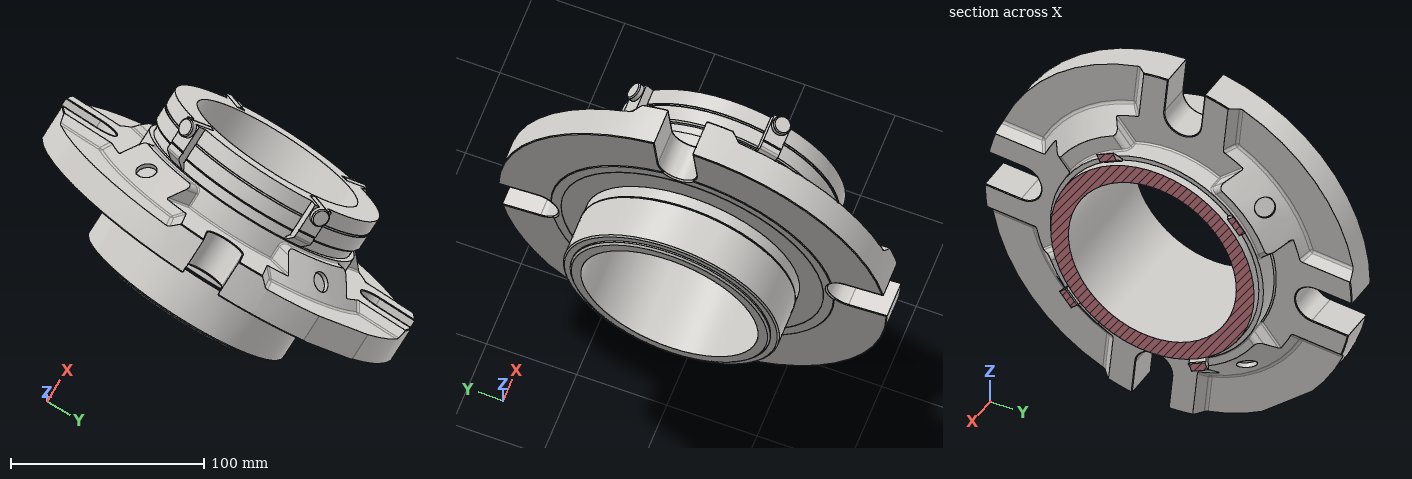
import cadquery as cq
import math


NOSE_LENGTH = 2.0
GROOVE_X = 26.0
PAD_X = 33.0
FLANGE_X = 33.5
FLANGE_BACK_X = 54.3
POCKET_X = 49.2
BOSS_END_X = 66.9
COLLAR_X = 72.7
COLLAR_LINE_X = 82.0
END_X = 91.9

BORE_D = 98.3
NOSE_D = 111.0
BODY_D = 120.0
BODY_BACK_D = 119.0
GROOVE_D = 116.0
PAD_D = 157.5
PAD_RECESS_D = 145.5
FLANGE_D = 215.6
BOSS_D = 125.3
NECK_D = 120.0
COLLAR_D = 125.3
COLLAR_LINE_D = 124.5

NOSE_CHAMFER = 1.0
BODY_CHAMFER = 0.9
PAD_CHAMFER = 0.5
FLANGE_CHAMFER = 0.5
GROOVE_WIDTH = 0.9
COLLAR_LINE_WIDTH = 1.0
COLLAR_CHAMFER = 0.9
PAD_RECESS_DEPTH = 0.2

SLOT_COUNT = 4
SECTOR_ANGLE = 360 / SLOT_COUNT
SLOT_TILT = 5.7
SLOT_WIDTH = 21.5
SLOT_CENTRE_R = 85.8
SLOT_CHAMFER = 0.5
CHAMFER_TAPER = 45

SECTOR_TILT = SLOT_TILT + SECTOR_ANGLE / 2
POCKET_CONE_R = 84.5
POCKET_WALL_OFFSET = 42.5
POCKET_TAPER = 45
POCKET_FILLET = 2.5
WEDGE_WIDTH = 45.7
WEDGE_LENGTH = 92.7
WEDGE_ROUND = 3.2
GLAND_FILLET = 0.9
LOW_WEDGE_X = 61.9
PORT_WEDGE_X = 65.8
LOW_SECTOR = 0
FLAT_SECTOR = 2
FLAT_R = 106.0
PORT_D = 11.0
PORT_X = 57.8
PORT_DEPTH = 2.5

EDGE_REACH = 103.5
TOLERANCE = 0.02

CLIP_ANGLES = (65.4, 139.7, 245.4, 319.7)
CLIP_WIDTH = 10.8
CLIP_TOP_R = 67.3
CLIP_ROOT_DEPTH = 4.3
CLIP_BEVEL_LENGTH = 4.7
CLIP_BEVEL_HEIGHT = 7.0
CLIP_BEVEL_ROUND = 1.7
CLIP_FOOT_HEIGHT = 1.7
CLIP_UNDERSIDE_X = 70.7
CLIP_UNDERSIDE_R = 62.3
CLIP_SCORE_X = 76.0
CLIP_SCORE_WIDTH = 0.6
CLIP_SCORE_DEPTH = 0.5
HEAD_D = 10.0
HEAD_X = 87.5
HEAD_TOP_R = 70.5
HEAD_CHAMFER = 0.6


def disc(start_x, end_x, diameter):
    """Solid cylinder about the X axis."""
    return cq.Workplane("YZ").workplane(offset=start_x).circle(diameter / 2).extrude(end_x - start_x)


def ring(start_x, width, outer_d, inner_d):
    """Annulus about the X axis."""
    return disc(start_x, start_x + width, outer_d).cut(disc(start_x, start_x + width, inner_d))


def place(shape, angle):
    """Turn a shape from the +Z side to an angle counted from -Y towards +Z."""
    return shape.rotate((0, 0, 0), (1, 0, 0), 90 - angle)


def sector_angle(index):
    """Angle of the middle of a flange sector."""
    return SECTOR_TILT + index * SECTOR_ANGLE


def slot_outline(x):
    """Outline of a bolt slot on the +Z side, in the plane at x; its outer end is beyond the rim."""
    length = FLANGE_D / 2
    middle_r = SLOT_CENTRE_R + (length - SLOT_WIDTH) / 2
    return cq.Workplane("YZ").workplane(offset=x).center(0, middle_r).slot2D(length, SLOT_WIDTH, 90)


def bolt_slot():
    """Cutter for a bolt slot, flared to chamfer its edges on the front and back of the flange."""
    flare = SLOT_CHAMFER + FLANGE_X - PAD_X
    front = slot_outline(FLANGE_X + SLOT_CHAMFER).extrude(-flare, taper=-CHAMFER_TAPER)
    back = slot_outline(FLANGE_BACK_X - SLOT_CHAMFER).extrude(flare, taper=-CHAMFER_TAPER)
    return slot_outline(PAD_X).extrude(BOSS_END_X - PAD_X).union(front).union(back)


def wedge(end_x):
    """Block behind a flange sector, on the +Z side, before its outside is bevelled."""
    return (
        cq.Workplane("YZ").workplane(offset=FLANGE_X)
        .center(0, WEDGE_LENGTH / 2).rect(WEDGE_WIDTH, WEDGE_LENGTH)
        .extrude(end_x - FLANGE_X)
        .faces(">X").edges("|Z").fillet(WEDGE_ROUND)
    )


def is_inner_corner(edge):
    """True where a wedge or the boss meets the flange back, or a wedge meets the boss."""
    ends = [edge.startPoint(), edge.endPoint()]
    middle = edge.positionAt(0.5)
    on_boss = all(abs(math.hypot(p.y, p.z) - BOSS_D / 2) < TOLERANCE for p in ends + [middle])
    on_flange = all(abs(p.x - FLANGE_BACK_X) < TOLERANCE for p in ends + [middle])
    inside_rim = all(math.hypot(p.y, p.z) < EDGE_REACH for p in ends)
    return inside_rim and (on_flange or on_boss and middle.x < BOSS_END_X - TOLERANCE)


def pocket():
    """Cutter that thins a sector, on the +Z side; its walls run along the neighbouring slots."""
    depth = BOSS_END_X - POCKET_X
    outer_r = FLANGE_D / 2 + 2 * depth
    half_width = (outer_r - POCKET_WALL_OFFSET) * math.tan(math.radians(SECTOR_ANGLE / 2))
    corners = [(0, POCKET_WALL_OFFSET), (half_width, outer_r), (-half_width, outer_r)]
    fan = (
        cq.Workplane("YZ").workplane(offset=POCKET_X).polyline(corners).close()
        .extrude(depth, taper=-POCKET_TAPER)
    )
    cone = (
        cq.Workplane("YZ").workplane(offset=POCKET_X).circle(POCKET_CONE_R)
        .extrude(depth, taper=POCKET_TAPER)
    )
    cutter = fan.cut(cone)
    floor_edges = cutter.faces("<X").edges()
    wall_corners = cutter.edges("%PARABOLA")
    return floor_edges.add(wall_corners).fillet(POCKET_FILLET)


def port():
    """Blind port square to the bevelled face of a wedge, on the +Z side."""
    face_r = POCKET_CONE_R - (PORT_X - POCKET_X)
    axis = cq.Vector(1, 0, 1).normalized()
    start = cq.Vector(PORT_X, 0, face_r) + axis * PORT_DEPTH
    return cq.Workplane(cq.Solid.makeCylinder(PORT_D / 2, 2 * PORT_DEPTH, start, axis * -1))


def clip():
    """Setting clip with its bolt head, on the +Z side."""
    inner_r = BORE_D / 2 + CLIP_ROOT_DEPTH
    side = [
        (BOSS_END_X, CLIP_TOP_R - CLIP_BEVEL_HEIGHT - CLIP_FOOT_HEIGHT),
        (BOSS_END_X, CLIP_TOP_R - CLIP_BEVEL_HEIGHT),
        (BOSS_END_X + CLIP_BEVEL_LENGTH, CLIP_TOP_R),
        (END_X, CLIP_TOP_R),
        (END_X, inner_r),
        (COLLAR_X, inner_r),
        (COLLAR_X, CLIP_UNDERSIDE_R),
        (CLIP_UNDERSIDE_X, CLIP_UNDERSIDE_R),
    ]
    bar = cq.Workplane("XZ").polyline(side).close().extrude(CLIP_WIDTH / 2, both=True)
    bar = bar.faces(">Z").edges("<X").fillet(CLIP_BEVEL_ROUND)
    score = cq.Workplane("XY").box(CLIP_SCORE_WIDTH, CLIP_WIDTH, 2 * CLIP_SCORE_DEPTH)
    bar = bar.cut(score.translate((CLIP_SCORE_X, 0, CLIP_TOP_R)))
    head = (
        cq.Workplane("XY").workplane(offset=inner_r).center(HEAD_X, 0)
        .circle(HEAD_D / 2).extrude(HEAD_TOP_R - inner_r)
        .faces(">Z").chamfer(HEAD_CHAMFER)
    )
    return bar.union(head)


gland = disc(FLANGE_X, FLANGE_BACK_X, FLANGE_D).edges().chamfer(FLANGE_CHAMFER)
flat_cutter = (
    cq.Workplane("YZ").workplane(offset=FLANGE_X)
    .center(0, FLAT_R + FLANGE_D / 2).rect(FLANGE_D, FLANGE_D).extrude(FLANGE_BACK_X - FLANGE_X)
)
gland = gland.cut(place(flat_cutter, sector_angle(FLAT_SECTOR)))

gland = gland.union(disc(FLANGE_X, BOSS_END_X, BOSS_D))
for index in range(SLOT_COUNT):
    wedge_end_x = LOW_WEDGE_X if index == LOW_SECTOR else PORT_WEDGE_X
    gland = gland.union(place(wedge(wedge_end_x), sector_angle(index)))
inner_corners = [edge for edge in gland.edges().vals() if is_inner_corner(edge)]
gland = gland.newObject(inner_corners).fillet(GLAND_FILLET)

raised_face = disc(PAD_X, FLANGE_BACK_X, PAD_D).faces("<X").edges().chamfer(PAD_CHAMFER)
gland = gland.union(raised_face)
gland = gland.cut(disc(PAD_X, PAD_X + PAD_RECESS_DEPTH, PAD_RECESS_D))

for index in range(SLOT_COUNT):
    gland = gland.cut(place(bolt_slot(), SLOT_TILT + index * SECTOR_ANGLE))
    gland = gland.cut(place(pocket(), sector_angle(index)))
    if index != LOW_SECTOR:
        gland = gland.cut(place(port(), sector_angle(index)))

sleeve = disc(0, FLANGE_X, NOSE_D).faces("<X").edges().chamfer(NOSE_CHAMFER)
sleeve = sleeve.union(disc(NOSE_LENGTH, GROOVE_X, BODY_D).faces("<X").edges().chamfer(BODY_CHAMFER))
sleeve = sleeve.union(disc(GROOVE_X, FLANGE_BACK_X, BODY_BACK_D))
sleeve = sleeve.cut(ring(GROOVE_X, GROOVE_WIDTH, FLANGE_D, GROOVE_D))
neck = disc(FLANGE_BACK_X, END_X, NECK_D)
collar = disc(COLLAR_X, END_X, COLLAR_D).faces("<X").edges().chamfer(COLLAR_CHAMFER)
collar = collar.cut(ring(COLLAR_LINE_X, COLLAR_LINE_WIDTH, FLANGE_D, COLLAR_LINE_D))

result = gland.union(sleeve).union(neck).union(collar)
for angle in CLIP_ANGLES:
    result = result.union(place(clip(), angle))
result = result.cut(disc(0, END_X, BORE_D))